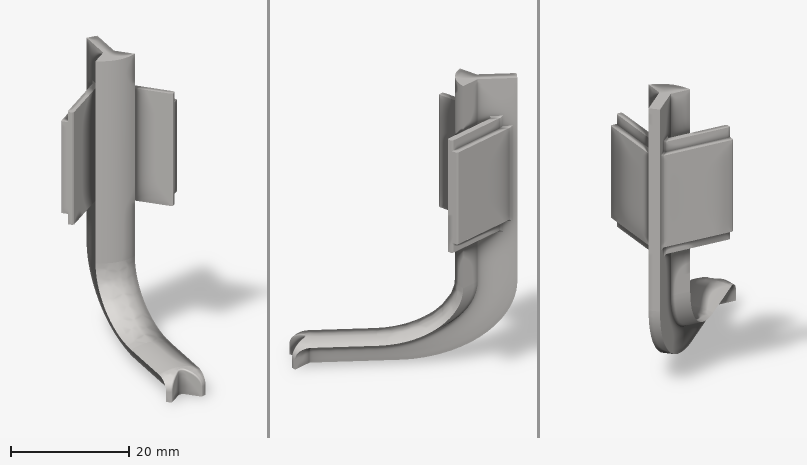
import cadquery as cq
import math

ROOT2 = math.sqrt(2)

height = 51.6
blade_thickness = 2.0
crown_width = 7.35
crown_rise = 0.75

back_edge = 6.65
foot_edge_height = 3.9
bend_center_height = 14.1
bend_radius = bend_center_height - foot_edge_height
bend_center = back_edge + bend_radius
lip_radius = 2.0
tip_edge = 26.85
lip_center = tip_edge - lip_radius
lip_height = foot_edge_height - lip_radius
outer_bend_radius = bend_center_height

lip_thickness = 1.0
notch_radius = 0.9
lip_edge_radius = 0.25

arm_outer_offset = 0.1
arm_layer = 1.15
arm_end = 15.45
arm_center_height = 33.95
outer_layer_height = 17.05
inner_layer_height = 20.85
arm_tip_length = 0.3
arm_tip_depth = 0.15
root_chamfer = 0.3

half_blade = blade_thickness / 2
half_crown = crown_width / 2
diagonal = (1 / ROOT2, -1 / ROOT2, 0)
across = (1 / ROOT2, 1 / ROOT2, 0)
margin = 5.15
tolerance = 0.0005
shoulder_shift = half_crown / ROOT2
notch_corner = tip_edge - shoulder_shift + lip_thickness


def arc_middle(center, radius, angle):
    turn = math.radians(angle)
    return center[0] + radius * math.cos(turn), center[1] + radius * math.sin(turn)


def draw_crown_edge(sketch):
    """Continue a sketch from the top of the crown edge to the bottom of the lip."""
    bend_middle = arc_middle((bend_center, bend_center_height), bend_radius, 225)
    lip_middle = arc_middle((lip_center, lip_height), lip_radius, 45)
    return (
        sketch.lineTo(back_edge, bend_center_height)
        .threePointArc(bend_middle, (bend_center, foot_edge_height))
        .lineTo(lip_center, foot_edge_height)
        .threePointArc(lip_middle, (tip_edge, lip_height))
        .lineTo(tip_edge, 0)
    )


def onto_diagonal(solid):
    """Stretch X by sqrt(2) and turn it onto the diagonal; Y becomes the width."""
    matrix = cq.Matrix([[1, 1 / ROOT2, 0, 0], [-1, 1 / ROOT2, 0, 0], [0, 0, 1, 0]])
    return cq.Workplane(obj=solid.val().transformGeometry(matrix))


def make_web():
    """Full-width body from the outer curve to the crown edges."""
    outer_middle = arc_middle((outer_bend_radius, outer_bend_radius), outer_bend_radius, 225)
    sketch = draw_crown_edge(cq.Workplane("XZ").moveTo(0, height).lineTo(back_edge, height))
    profile = (
        sketch.lineTo(outer_bend_radius, 0)
        .threePointArc(outer_middle, (0, outer_bend_radius))
        .close()
    )
    return profile.extrude(half_crown, both=True)


def make_crown():
    """Convex layer swept along the crown edge."""
    path = draw_crown_edge(cq.Workplane("XZ").moveTo(back_edge, height))
    section = (
        cq.Workplane("XY", origin=(back_edge, 0, height))
        .moveTo(0, -half_crown)
        .threePointArc((crown_rise, 0), (0, half_crown))
        .close()
    )
    return section.sweep(path)


def mirror_across_hook(solid):
    return solid.mirror(cq.Vector(*across))


def make_side_relief():
    """Space beside the blade, behind the shoulder on the -X side."""
    sketch = draw_crown_edge(cq.Workplane("XZ").moveTo(-height, height).lineTo(back_edge, height))
    behind = (
        sketch.lineTo(tip_edge, -margin)
        .lineTo(-height, -margin)
        .close()
        .extrude(height, both=True)
        .translate((-shoulder_shift, 0, 0))
    )
    beside_plane = cq.Plane(origin=(0, 0, -margin), xDir=diagonal, normal=(0, 0, 1))
    beside = (
        cq.Workplane(beside_plane)
        .center(0, -half_blade)
        .rect(2 * height, -height, centered=(True, False))
        .extrude(height + 2 * margin)
    )
    return behind.intersect(beside)


def make_notch():
    """Right-angled notch that leaves a lip of even thickness."""
    return (
        cq.Workplane("XY", origin=(notch_corner, -notch_corner, -margin))
        .rect(height, -height, centered=False)
        .extrude(bend_center_height)
        .edges("|Z and <X and >Y")
        .fillet(notch_radius)
    )


def round_notch_rim(body):
    """Round the rim where the notch meets the crown; the wall edge leads on around the notch."""

    def on_wall(point):
        above_lip = point.z > lip_height - tolerance
        return above_lip and abs(point.y + notch_corner) < tolerance

    rim = [
        edge
        for edge in body.edges("%BSPLINE").vals()
        if on_wall(edge.startPoint()) and on_wall(edge.endPoint())
    ]
    return body.newObject(rim).fillet(lip_edge_radius)


def make_root_collar(outer, depth):
    """Flared foot of one arm layer, where it leaves the side face of the blade."""

    def section(distance, flare):
        near = outer * ROOT2 + distance - flare
        far = (outer + arm_layer) * ROOT2 + distance + flare
        plane = cq.Plane(
            origin=(-distance / ROOT2, -distance / ROOT2, arm_center_height),
            xDir=diagonal,
            normal=across,
        )
        wire = (
            cq.Workplane(plane)
            .center((near + far) / 2, 0)
            .rect(far - near, depth + 2 * flare)
        )
        return wire.val()

    foot = section(half_blade, root_chamfer)
    neck = section(half_blade + root_chamfer / ROOT2, 0)
    return cq.Workplane(obj=cq.Solid.makeLoft([foot, neck], True))


def make_arm():
    """Stepped arm along -Y, with its outer face toward -X."""
    step = arm_outer_offset + arm_layer
    inner = step + arm_layer
    bevel_start = -arm_end + arm_tip_length

    def layer(outer, depth):
        return (
            cq.Workplane("XY")
            .moveTo(outer, -outer)
            .lineTo(outer, bevel_start)
            .lineTo(outer + arm_tip_depth, -arm_end)
            .lineTo(inner - arm_tip_depth, -arm_end)
            .lineTo(inner, bevel_start)
            .lineTo(inner, -inner)
            .close()
            .extrude(depth / 2, both=True)
            .translate((0, 0, arm_center_height))
        )

    arm = layer(arm_outer_offset, outer_layer_height).union(layer(step, inner_layer_height))
    arm = arm.union(make_root_collar(arm_outer_offset, outer_layer_height))
    return arm.union(make_root_collar(step, inner_layer_height))


hook = onto_diagonal(make_web().union(make_crown()))
relief = make_side_relief()
body = hook.cut(relief).cut(mirror_across_hook(relief))
body = round_notch_rim(body.cut(make_notch()))

arm = make_arm()
result = body.union(arm).union(mirror_across_hook(arm))